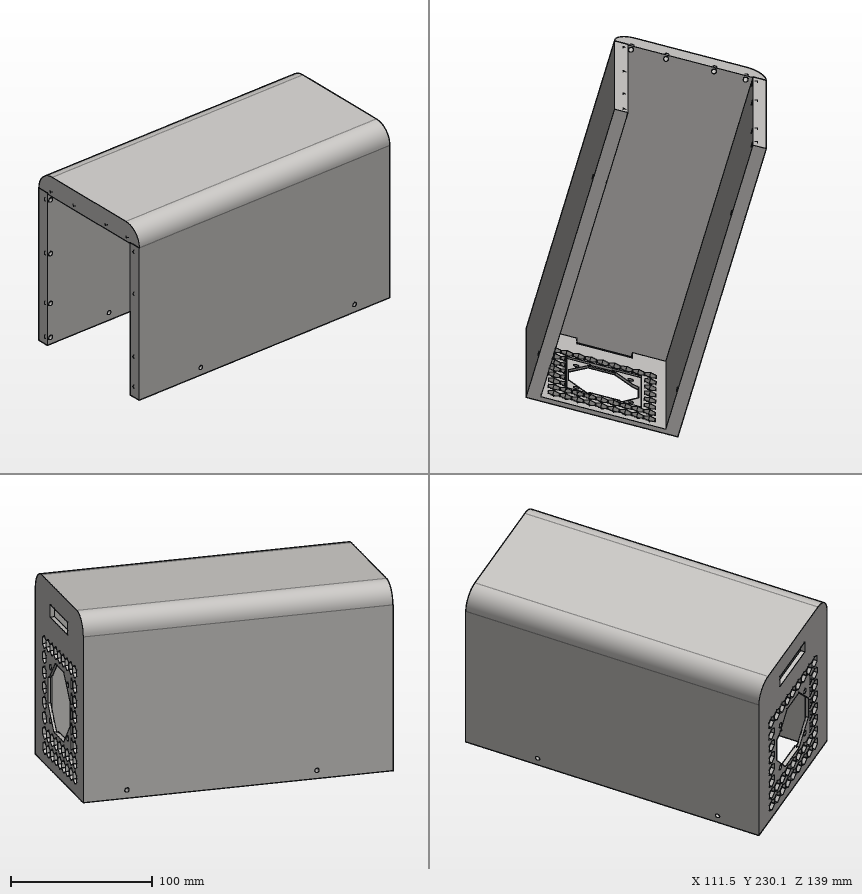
import cadquery as cq
import math

width = 111.5
length = 230.1
height = 139.0
wall = 10.0
corner_radius = 15.0
cap_bottom = 123.1
cap_setback = 0.2
front_y = -length / 2
rear_y = length / 2
inner_x = width / 2 - wall
wall_top = height - corner_radius

panel_thickness = 3.5
panel_front = rear_y - panel_thickness
window_left, window_right = -19.3, 21.5
window_bottom = 113.7

hex_flats = 8.3
hex_columns, hex_rows = 9, 8
hex_gap = 0.5
hex_pitch_x = hex_flats + hex_gap
hex_pitch_z = 11.3
hex_center_x, hex_center_z = -0.7, 51.5
hex_turn = -0.6
hex_clip_x = -27.8
full_rows = (0, 1, 7)

mount_left, mount_right = -26.7, 28.0
mount_bottom, mount_top = 28.8, 85.1
opening_left, opening_right = -25.0, 26.5
opening_bottom, opening_top = 30.5, 82.8
bottom_edge = [(-10.4, opening_bottom), (12.5, opening_bottom)]
top_edge = [(9.5, opening_top), (-10.1, opening_top)]
opening_outline = [
    *bottom_edge,
    (opening_right, 47.9), (opening_right, 66.7), (21.9, 69.5),
    *top_edge,
    (opening_left, 65.4), (opening_left, 47.0),
]
recess_depth = 1.4
strip_depth = 2.0
strip_top_left, strip_top_right = -9.0, 7.0
rim_left, rim_right = -8.5, 10.5
fan_hole_diameter = 4.0
fan_hole_pitch = 40.0
fan_center_x, fan_center_z = 0.5, 56.4

side_hole_diameter = 3.2
side_hole_z = 6.2
side_hole_places_y = (82.6, -58.5)
pin_diameter = 3.5
pin_inset = 3.0
pin_depth = 4.1
pin_tilt = math.radians(20)
left_pin_heights = (117.4, 73.6, 33.1, 5.5)
right_pin_heights = (118.0, 83.8, 32.7, 8.3)
cap_pin_places_x = (-42.8, -17.0, 18.2, 41.5)


def block(x0, x1, y0, y1, z0, z1):
    return cq.Workplane("XY").box(x1 - x0, y1 - y0, z1 - z0, centered=False).translate((x0, y0, z0))


def panel_prism(outline, depth=panel_thickness):
    """Prism with an X-Z outline, going from the panel's front face to a depth in it."""
    face = cq.Workplane("XZ", origin=(0, panel_front + depth, 0)).polyline(outline).close()
    return face.extrude(depth)


def make_shell():
    profile = block(-width / 2, width / 2, front_y, rear_y, 0, height)
    body = profile.edges("|Y and >Z").fillet(corner_radius)
    body = body.cut(block(-inner_x, inner_x, front_y, panel_front, 0, cap_bottom))
    body = body.cut(block(-width / 2, width / 2, front_y, front_y + cap_setback, wall_top, height))
    return body.cut(block(-inner_x, inner_x, front_y, front_y + cap_setback, cap_bottom, wall_top))


def hexagon(column, row):
    u = (column - (hex_columns - 1) / 2) * hex_pitch_x
    v = (row - (hex_rows - 1) / 2) * hex_pitch_z
    turn = math.radians(hex_turn)
    x = hex_center_x + u * math.cos(turn) - v * math.sin(turn)
    z = hex_center_z + u * math.sin(turn) + v * math.cos(turn)
    radius = hex_flats / math.sqrt(3)
    angles = [turn + math.radians(30 + 60 * i) for i in range(6)]
    return panel_prism([(x + radius * math.cos(a), z + radius * math.sin(a)) for a in angles])


def cut_vents(body):
    clip = block(hex_clip_x, width / 2, panel_front, rear_y, 0, height)
    for row in range(hex_rows):
        full = row in full_rows
        columns = range(hex_columns) if full else (0, 1, hex_columns - 1)
        for column in columns:
            cutter = hexagon(column, row)
            if column == 1 and not full:
                cutter = cutter.cut(clip)
            body = body.cut(cutter)
    return body


def cut_fan_mount(body):
    recess_back = panel_front + recess_depth
    recess = block(mount_left, mount_right, panel_front, recess_back, mount_bottom, mount_top)
    rim_outline = [(rim_right, mount_bottom), (rim_left, mount_bottom), *bottom_edge]
    rim = panel_prism(rim_outline, recess_depth)
    strip_outline = [(strip_top_left, mount_top), (strip_top_right, mount_top), *top_edge]
    strip = panel_prism(strip_outline, strip_depth)
    fan_holes = (
        cq.Workplane("XZ", origin=(fan_center_x, rear_y, fan_center_z))
        .rect(fan_hole_pitch, fan_hole_pitch, forConstruction=True)
        .vertices()
        .circle(fan_hole_diameter / 2)
        .extrude(panel_thickness)
    )
    body = body.cut(recess.cut(rim)).cut(strip)
    return body.cut(panel_prism(opening_outline)).cut(fan_holes)


def cut_side_holes(body):
    for y in side_hole_places_y:
        start = cq.Vector(-width / 2, y, side_hole_z)
        body = body.cut(cq.Solid.makeCylinder(side_hole_diameter / 2, width, start, cq.Vector(1, 0, 0)))
    return body


def cut_pin(body, x, y, z, into):
    """Flat-bottomed hole whose mouth is at (x, y, z), going along 'into' and tilted forward."""
    direction = into * math.cos(pin_tilt) + cq.Vector(0, -math.sin(pin_tilt), 0)
    lead = pin_diameter
    start = cq.Vector(x, y, z) - direction * lead
    return body.cut(cq.Solid.makeCylinder(pin_diameter / 2, pin_depth + lead, start, direction))


def cut_pins(body):
    for z in left_pin_heights:
        body = cut_pin(body, -inner_x, front_y + pin_inset, z, cq.Vector(-1, 0, 0))
    for z in right_pin_heights:
        body = cut_pin(body, inner_x, front_y + pin_inset, z, cq.Vector(1, 0, 0))
    for x in cap_pin_places_x:
        mouth_y = front_y + cap_setback + pin_inset
        body = cut_pin(body, x, mouth_y, cap_bottom, cq.Vector(0, 0, 1))
    return body


cover = make_shell()
cover = cover.cut(block(window_left, window_right, panel_front, rear_y, window_bottom, cap_bottom))
cover = cut_vents(cover)
cover = cut_fan_mount(cover)
cover = cut_side_holes(cover)
cover = cut_pins(cover)
result = cover.translate((0, 0, -height / 2))